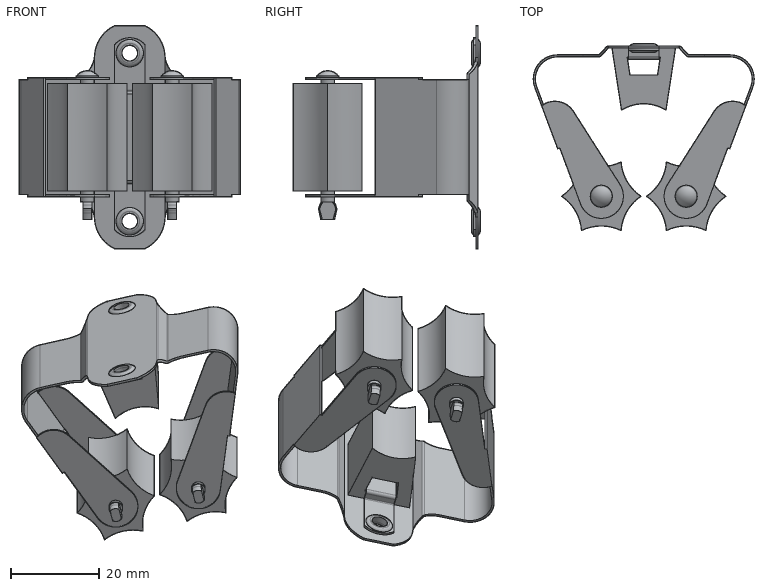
import cadquery as cq
import math


SHEET = 0.5
BAND_HALF_HEIGHT = 13.0
PLATE_HALF_HEIGHT = 25.225
TONGUE_RADIUS = 8.0
TONGUE_CENTRE_Z = 18.0
TONGUE_ROOT_RADIUS = 5.7
JOG_START_X = 8.22
JOG_END_X = 10.1
SHELF_Y = -2.0
PLATE_BEND_RADIUS = SHEET
SHELF_BEND_INNER_RADIUS = 0.2
SHELF_BEND_OUTER_RADIUS = SHELF_BEND_INNER_RADIUS + SHEET
HALF_WIDTH = 24.995
SHOULDER_INNER_RADIUS = 5.0
SHOULDER_OUTER_RADIUS = SHOULDER_INNER_RADIUS + SHEET
SHOULDER_X = HALF_WIDTH - SHOULDER_OUTER_RADIUS
SHOULDER_Y = SHELF_Y - SHOULDER_OUTER_RADIUS
WALL_LENGTH = 14.8
THROUGH = 2 * HALF_WIDTH

PIN_X = 9.6
PIN_Y = -34.0
EAR_RADIUS = SHOULDER_INNER_RADIUS
EAR_HEEL_X = 20.1
EAR_HEEL_Y = -17.5

PIN_RADIUS = 1.55
PIN_HEAD_RADIUS = 2.5
PIN_HEAD_RIM = 0.3
PIN_HEAD_BEVEL = 0.12
PIN_HEAD_HEIGHT = 1.55
PIN_SHAFT_END = 14.6
PIN_TIP_PROFILE = [
    (1.45, 0.0),
    (1.82, 0.7),
    (2.07, 1.48),
    (2.07, 1.82),
    (1.9, 2.52),
    (1.57, 4.05),
]
PIN_TIP_THICKNESS = 2.05

ROLLER_RADIUS = 9.0
ROLLER_RIDGES = 6
ROLLER_FLUTE_DEPTH = 1.05
ROLLER_HALF_HEIGHT = 12.2

BLOCK_HALF_HEIGHT = 9.8
BLOCK_REAR_HALF_WIDTH = 7.2
BLOCK_FRONT_HALF_WIDTH = 5.05
BLOCK_FRONT_Y = -14.55
BLOCK_HOLLOW_DEPTH = 1.45
WINDOW_REAR_Y = -2.6
WINDOW_FRONT_Y = -6.55
WINDOW_FRONT_HALF_WIDTH = 3.1

STRAP_HALF_WIDTH = 3.47
STRAP_CLEARANCE = 0.2
STRAP_FOLD_INNER_RADIUS = 0.2
STRAP_FOLD_OUTER_RADIUS = STRAP_FOLD_INNER_RADIUS + SHEET
STRAP_END_RADIUS = 4.5
EYELET_Z = 19.0
EYELET_HOLE_RADIUS = 1.75
EYELET_RADIUS = 3.1
EYELET_CREST_RADIUS = 2.24
EYELET_LIP = 0.5

WALL_LEAN = math.atan2(SHOULDER_X - PIN_X, SHOULDER_Y - PIN_Y)
ALONG = cq.Vector(-math.sin(WALL_LEAN), -math.cos(WALL_LEAN))
OUTWARD = cq.Vector(math.cos(WALL_LEAN), -math.sin(WALL_LEAN))
SHOULDER = cq.Vector(SHOULDER_X, SHOULDER_Y)
PIN = cq.Vector(PIN_X, PIN_Y)
WALL_END_INNER = SHOULDER + OUTWARD * SHOULDER_INNER_RADIUS + ALONG * WALL_LENGTH
WALL_END_OUTER = WALL_END_INNER + OUTWARD * SHEET


def xy(vector):
    """Coordinates of a vector for use in an outline."""
    return (vector.x, vector.y)


def both_sides(solid):
    """A right-hand shape joined with its mirror image on the left."""
    return solid.union(solid.mirror("YZ"))


def bent_sheet():
    """Right half of the bent strip: plate, jog, shelf, shoulder and side wall, at full plate height."""
    jog_angle = math.atan2(-SHELF_Y, JOG_END_X - JOG_START_X)
    shift = SHEET * math.tan(jog_angle / 2)
    bisector = math.radians(45) - WALL_LEAN / 2
    middle = cq.Vector(math.cos(bisector), math.sin(bisector))
    strip = (
        cq.Workplane("XY").workplane(offset=-PLATE_HALF_HEIGHT)
        .moveTo(0, 0)
        .lineTo(JOG_START_X, 0)
        .lineTo(JOG_END_X, SHELF_Y)
        .lineTo(SHOULDER_X, SHELF_Y)
        .threePointArc(
            xy(SHOULDER + middle * SHOULDER_OUTER_RADIUS),
            xy(SHOULDER + OUTWARD * SHOULDER_OUTER_RADIUS),
        )
        .lineTo(*xy(WALL_END_OUTER))
        .lineTo(*xy(WALL_END_INNER))
        .lineTo(*xy(SHOULDER + OUTWARD * SHOULDER_INNER_RADIUS))
        .threePointArc(
            xy(SHOULDER + middle * SHOULDER_INNER_RADIUS),
            (SHOULDER_X, SHELF_Y - SHEET),
        )
        .lineTo(JOG_END_X - shift, SHELF_Y - SHEET)
        .lineTo(JOG_START_X - shift, -SHEET)
        .lineTo(0, -SHEET)
        .close()
        .extrude(2 * PLATE_HALF_HEIGHT)
    )
    bends = [
        (JOG_START_X, 0, PLATE_BEND_RADIUS),
        (JOG_END_X, SHELF_Y, SHELF_BEND_INNER_RADIUS),
        (JOG_END_X - shift, SHELF_Y - SHEET, SHELF_BEND_OUTER_RADIUS),
    ]
    for x, y, radius in bends:
        strip = strip.edges(cq.selectors.NearestToPointSelector((x, y, 0))).fillet(radius)
    return strip


def frame_outline():
    """Right half of the flat frame outline in X and Z, as a thick prism along Y."""
    root_x = TONGUE_RADIUS + TONGUE_ROOT_RADIUS
    root_z = BAND_HALF_HEIGHT + TONGUE_ROOT_RADIUS
    root_reach = math.sqrt(TONGUE_ROOT_RADIUS**2 - (root_z - TONGUE_CENTRE_Z)**2)
    diagonal = TONGUE_ROOT_RADIUS * math.sqrt(0.5)
    flat_half_width = math.sqrt(TONGUE_RADIUS**2 - (PLATE_HALF_HEIGHT - TONGUE_CENTRE_Z)**2)
    arc_x = TONGUE_RADIUS * math.sqrt(0.5)
    upper = (
        cq.Workplane("XZ")
        .moveTo(0, 0)
        .lineTo(0, PLATE_HALF_HEIGHT)
        .lineTo(flat_half_width, PLATE_HALF_HEIGHT)
        .threePointArc((arc_x, TONGUE_CENTRE_Z + arc_x), (TONGUE_RADIUS, TONGUE_CENTRE_Z))
        .lineTo(root_x - root_reach, TONGUE_CENTRE_Z)
        .threePointArc((root_x - diagonal, root_z - diagonal), (root_x, BAND_HALF_HEIGHT))
        .lineTo(HALF_WIDTH, BAND_HALF_HEIGHT)
        .lineTo(HALF_WIDTH, 0)
        .close()
        .extrude(THROUGH, both=True)
    )
    return upper.union(upper.mirror("XY"))


def ear():
    """Upper right ear: a flat link from its rounded heel on the side wall to the pin."""
    heel = cq.Vector(EAR_HEEL_X, EAR_HEEL_Y)
    link = (PIN - heel).normalized()
    inboard = cq.Vector(link.y, -link.x)
    heel_height = (heel - PIN).dot(OUTWARD)
    wall_height = EAR_RADIUS + SHEET
    heel_reach = math.sqrt(EAR_RADIUS**2 - (wall_height - heel_height)**2)
    wall_start = heel + OUTWARD * (wall_height - heel_height) - ALONG * heel_reach
    return (
        cq.Workplane("XY").workplane(offset=BAND_HALF_HEIGHT)
        .moveTo(*xy(wall_start))
        .threePointArc((EAR_HEEL_X, EAR_HEEL_Y + EAR_RADIUS), xy(heel + inboard * EAR_RADIUS))
        .lineTo(*xy(PIN + inboard * EAR_RADIUS))
        .threePointArc((PIN_X, PIN_Y - EAR_RADIUS), xy(PIN + OUTWARD * EAR_RADIUS))
        .lineTo(*xy(WALL_END_INNER))
        .lineTo(*xy(WALL_END_OUTER))
        .close()
        .extrude(SHEET)
    )


def pin():
    """Right pin: domed head on the upper ear, shaft through both ears, flattened lower tip."""
    ear_top = BAND_HALF_HEIGHT + SHEET
    rim_top = ear_top + PIN_HEAD_RIM
    head_top = ear_top + PIN_HEAD_HEIGHT
    dome_base = rim_top + PIN_HEAD_BEVEL
    dome_base_radius = PIN_HEAD_RADIUS - PIN_HEAD_BEVEL
    dome_rise = head_top - dome_base
    dome_radius = (dome_base_radius**2 + dome_rise**2) / (2 * dome_rise)
    dome_mid_x = dome_base_radius / 2
    dome_mid_z = head_top - dome_radius + math.sqrt(dome_radius**2 - dome_mid_x**2)
    body = (
        cq.Workplane("XZ")
        .moveTo(0, -PIN_SHAFT_END)
        .lineTo(PIN_RADIUS, -PIN_SHAFT_END)
        .lineTo(PIN_RADIUS, ear_top)
        .lineTo(PIN_HEAD_RADIUS, ear_top)
        .lineTo(PIN_HEAD_RADIUS, rim_top)
        .lineTo(dome_base_radius, dome_base)
        .threePointArc((dome_mid_x, dome_mid_z), (0, head_top))
        .close()
        .revolve(360, (0, 0, 0), (0, 1, 0))
    )
    tip_length = PIN_TIP_PROFILE[-1][1]
    tip = (
        cq.Workplane("XZ").workplane(origin=(0, 0, -PIN_SHAFT_END))
        .polyline([(0, 0)] + [(radius, -depth) for radius, depth in PIN_TIP_PROFILE] + [(0, -tip_length)])
        .close()
        .revolve(360, (0, 0, 0), (0, 1, 0))
    )
    flats = cq.Workplane("XY").box(PIN_TIP_THICKNESS, 2 * PIN_HEAD_RADIUS, 2 * (PIN_SHAFT_END + tip_length))
    return body.union(tip.intersect(flats)).translate((PIN_X, PIN_Y, 0))


def strap():
    """Upper half of the strap: flat on the tongue, folded over the rear bar of the block and through it."""
    underside = BLOCK_HALF_HEIGHT + STRAP_CLEARANCE
    top = underside + SHEET
    strap_end = TONGUE_CENTRE_Z + STRAP_END_RADIUS
    rear = -SHEET
    folded = (
        cq.Workplane("YZ")
        .moveTo(rear, strap_end)
        .lineTo(rear - SHEET, strap_end)
        .lineTo(rear - SHEET, top)
        .lineTo(WINDOW_REAR_Y - SHEET, top)
        .lineTo(WINDOW_REAR_Y - SHEET, 0)
        .lineTo(WINDOW_REAR_Y, 0)
        .lineTo(WINDOW_REAR_Y, underside)
        .lineTo(rear, underside)
        .close()
        .extrude(STRAP_HALF_WIDTH, both=True)
    )
    folds = [
        (rear, underside, STRAP_FOLD_OUTER_RADIUS),
        (rear - SHEET, top, STRAP_FOLD_INNER_RADIUS),
        (WINDOW_REAR_Y - SHEET, top, STRAP_FOLD_OUTER_RADIUS),
        (WINDOW_REAR_Y, underside, STRAP_FOLD_INNER_RADIUS),
    ]
    for y, z, radius in folds:
        folded = folded.edges(cq.selectors.NearestToPointSelector((0, y, z))).fillet(radius)
    rounded_end = (
        cq.Workplane("XZ").center(0, TONGUE_CENTRE_Z).circle(STRAP_END_RADIUS).extrude(THROUGH, both=True)
        .union(cq.Workplane("XY").box(2 * HALF_WIDTH, THROUGH, 2 * TONGUE_CENTRE_Z))
    )
    return folded.intersect(rounded_end)


def eyelet():
    """Upper eyelet: a riveted tube with a rounded lip behind the plate and another before the strap."""
    rear_crest = EYELET_LIP
    front_base = -2 * SHEET
    front_crest = front_base - EYELET_LIP
    run = EYELET_RADIUS - EYELET_CREST_RADIUS
    arc_radius = (run**2 + EYELET_LIP**2) / (2 * EYELET_LIP)
    mid_radius = EYELET_CREST_RADIUS + run / 2
    mid_drop = arc_radius - math.sqrt(arc_radius**2 - (run / 2)**2)
    return (
        cq.Workplane("XY")
        .moveTo(0, rear_crest)
        .lineTo(EYELET_CREST_RADIUS, rear_crest)
        .threePointArc((mid_radius, rear_crest - mid_drop), (EYELET_RADIUS, 0))
        .lineTo(EYELET_RADIUS, front_base)
        .threePointArc((mid_radius, front_crest + mid_drop), (EYELET_CREST_RADIUS, front_crest))
        .lineTo(0, front_crest)
        .close()
        .revolve(360, (0, 0, 0), (0, 1, 0))
        .translate((0, 0, EYELET_Z))
    )


def eyelet_hole():
    """Upper screw hole through eyelet, strap and plate."""
    return (
        cq.Workplane("XZ").center(0, EYELET_Z).circle(EYELET_HOLE_RADIUS)
        .extrude(THROUGH, both=True)
    )


def make_frame():
    """Bent strip with its ears and pins on both sides, and the strap held on by the eyelets."""
    strip = bent_sheet().intersect(frame_outline())
    upper_ear = ear()
    half = strip.union(upper_ear).union(upper_ear.mirror("XY")).union(pin())
    mounting = strap().union(eyelet())
    mounting = mounting.union(mounting.mirror("XY"))
    hole = eyelet_hole()
    return both_sides(half).union(mounting).cut(hole).cut(hole.mirror("XY"))


def make_block():
    """Tapered block with a concave front face and a window for the strap."""
    side_slope = (BLOCK_REAR_HALF_WIDTH - BLOCK_FRONT_HALF_WIDTH) / (-SHEET - BLOCK_FRONT_Y)
    window_rear_half_width = WINDOW_FRONT_HALF_WIDTH + side_slope * (WINDOW_REAR_Y - WINDOW_FRONT_Y)
    body = (
        cq.Workplane("XY").workplane(offset=-BLOCK_HALF_HEIGHT)
        .moveTo(-BLOCK_REAR_HALF_WIDTH, -SHEET)
        .lineTo(BLOCK_REAR_HALF_WIDTH, -SHEET)
        .lineTo(BLOCK_FRONT_HALF_WIDTH, BLOCK_FRONT_Y)
        .threePointArc((0, BLOCK_FRONT_Y + BLOCK_HOLLOW_DEPTH), (-BLOCK_FRONT_HALF_WIDTH, BLOCK_FRONT_Y))
        .close()
        .extrude(2 * BLOCK_HALF_HEIGHT)
    )
    window = (
        cq.Workplane("XY").workplane(offset=-BLOCK_HALF_HEIGHT)
        .polyline([
            (-window_rear_half_width, WINDOW_REAR_Y),
            (window_rear_half_width, WINDOW_REAR_Y),
            (WINDOW_FRONT_HALF_WIDTH, WINDOW_FRONT_Y),
            (-WINDOW_FRONT_HALF_WIDTH, WINDOW_FRONT_Y),
        ])
        .close()
        .extrude(2 * BLOCK_HALF_HEIGHT)
    )
    recess = strap()
    return body.cut(window).cut(recess).cut(recess.mirror("XY"))


def make_roller(x):
    """Roller with concave flutes between sharp ridges and a bore for its pin."""
    step = 2 * math.pi / ROLLER_RIDGES
    flute_radius = ROLLER_RADIUS * math.cos(step / 2) - ROLLER_FLUTE_DEPTH
    outline = (
        cq.Workplane("XY").workplane(offset=-ROLLER_HALF_HEIGHT)
        .center(x, PIN_Y)
        .moveTo(ROLLER_RADIUS, 0)
    )
    for i in range(ROLLER_RIDGES):
        middle = (i + 0.5) * step
        ridge = (i + 1) * step
        outline = outline.threePointArc(
            (flute_radius * math.cos(middle), flute_radius * math.sin(middle)),
            (ROLLER_RADIUS * math.cos(ridge), ROLLER_RADIUS * math.sin(ridge)),
        )
    solid = outline.close().extrude(2 * ROLLER_HALF_HEIGHT)
    bore = (
        cq.Workplane("XY").workplane(offset=-ROLLER_HALF_HEIGHT)
        .center(x, PIN_Y).circle(PIN_RADIUS).extrude(2 * ROLLER_HALF_HEIGHT)
    )
    return solid.cut(bore)


frame = make_frame()
block = make_block()
rollers = [make_roller(side * PIN_X) for side in (-1, 1)]

result = cq.Compound.makeCompound([
    *frame.solids().vals(),
    *block.solids().vals(),
    *[roller.solids().val() for roller in rollers],
])